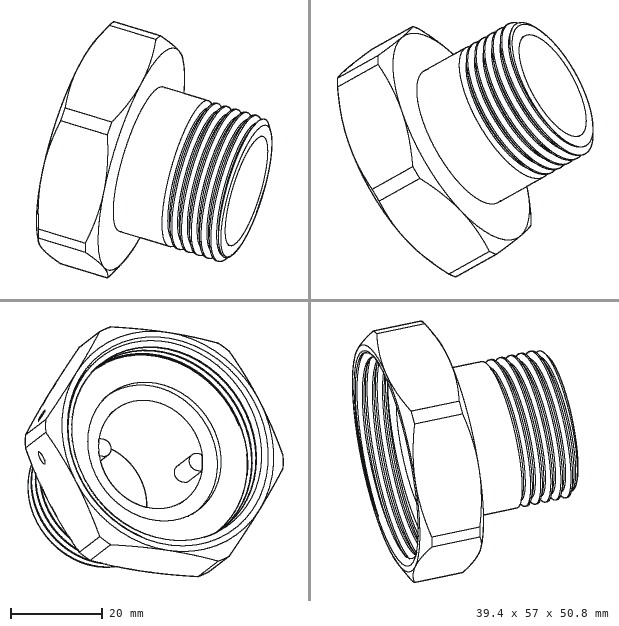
import cadquery as cq
import math


total_length = 39.4
head_length = 14.6
across_flats = 50.8
across_corners = 57.0
head_chamfer_angle = 30.0

pitch = 2.309
thread_depth = 1.479
flank_angle = 27.5
root_width = 0.385
external_major_radius = 33.1 / 2
internal_minor_radius = 44.845 / 2
lead_in_slope = 1.4
groove_overcut = 0.15

socket_depth = 7.2
socket_mouth_radius = 24.1
seat_radius = 16.0
seat_depth = 2.0
bore_radius = 12.5

shank_groove_start = 25.93
shank_end_radius = 15.05
socket_groove_start = -1.88

lug_length = 8.0
lug_setback = 0.3
lug_width = 4.0
lug_tip_distance = 9.35
wire_hole_diameter = 1.5
wire_hole_x = 8.5
wire_hole_corner_offset = 2.05

seat_floor_x = socket_depth + seat_depth
lug_start_x = seat_floor_x + lug_setback


def revolved(profile):
    """Solid of revolution about X from (x, radius) points."""
    return cq.Workplane("XY").polyline(profile).close().revolve(360, (0, 0, 0), (1, 0, 0))


def thread_groove(surface_radius, inward, first_x, turns):
    """Right-hand helical cutter about X, starting on the +Y side at first_x.

    inward is -1 for a groove cut towards the axis and +1 for one cut away from it.
    """
    root_half = root_width / 2
    mouth_half = root_half + (thread_depth + groove_overcut) * math.tan(math.radians(flank_angle))
    root_radius = surface_radius + inward * thread_depth
    mouth_radius = surface_radius - inward * groove_overcut
    path = cq.Wire.makeHelix(pitch, pitch * turns, surface_radius)
    groove = (
        cq.Workplane("XZ")
        .polyline([
            (mouth_radius, -mouth_half),
            (root_radius, -root_half),
            (root_radius, root_half),
            (mouth_radius, mouth_half),
        ])
        .close()
        .sweep(cq.Workplane(obj=path), isFrenet=True)
    )
    return (
        groove
        .rotate((0, 0, 0), (0, 0, 1), 90)
        .rotate((0, 0, 0), (0, 1, 0), 90)
        .translate((first_x, 0, 0))
    )


def hexagonal_head():
    """Hexagon with rounded corners, chamfered at both ends from its inscribed circle."""
    corner_radius = across_corners / 2
    flat_radius = across_flats / 2
    chamfer = (corner_radius - flat_radius) * math.tan(math.radians(head_chamfer_angle))
    hexagon = (
        cq.Workplane("YZ")
        .polygon(6, across_flats / math.cos(math.pi / 6))
        .extrude(head_length)
    )
    turned_blank = revolved([
        (0, 0),
        (0, flat_radius),
        (chamfer, corner_radius),
        (head_length - chamfer, corner_radius),
        (head_length, flat_radius),
        (head_length, 0),
    ])
    return hexagon.intersect(turned_blank)


def threaded_shank():
    """Cylinder with a lead-in cone and an external thread that runs out at its free end."""
    lead_in = (external_major_radius - shank_end_radius) / lead_in_slope
    blank = revolved([
        (socket_depth, 0),
        (socket_depth, external_major_radius),
        (total_length - lead_in, external_major_radius),
        (total_length, shank_end_radius),
        (total_length, 0),
    ])
    turns = math.ceil((total_length - shank_groove_start) / pitch) + 1
    return blank.cut(thread_groove(external_major_radius, -1, shank_groove_start, turns))


def stepped_bore():
    """Void through the whole part: countersunk socket, seat recess and through bore."""
    lead_in = (socket_mouth_radius - internal_minor_radius) / lead_in_slope
    return revolved([
        (0, 0),
        (0, socket_mouth_radius),
        (lead_in, internal_minor_radius),
        (socket_depth, internal_minor_radius),
        (socket_depth, seat_radius),
        (seat_floor_x, seat_radius),
        (seat_floor_x, bore_radius),
        (total_length, bore_radius),
        (total_length, 0),
    ])


def socket_thread():
    """Internal thread groove, from outside the open end to an undercut behind the socket floor."""
    groove_length = socket_depth + pitch / 2 - socket_groove_start
    return thread_groove(internal_minor_radius, 1, socket_groove_start, groove_length / pitch)


def wire_hole():
    """Hole across the +Y corner of the head, parallel to Z."""
    hole_y = across_corners / 2 - wire_hole_corner_offset
    return (
        cq.Workplane("XY")
        .center(wire_hole_x, hole_y)
        .circle(wire_hole_diameter / 2)
        .extrude(across_flats / 2, both=True)
    )


def adapter_body():
    """Head, shank, threads and bores as one solid."""
    return (
        hexagonal_head()
        .cut(stepped_bore())
        .cut(socket_thread())
        .union(threaded_shank().cut(stepped_bore()))
        .cut(wire_hole())
    )


def lug(side):
    """Round-nosed lug lying on the bore wall; side is +1 for +Y and -1 for -Y."""
    nose_radius = lug_width / 2
    nose_center = lug_tip_distance + nose_radius
    outline = (
        cq.Workplane("YZ", origin=(lug_start_x, 0, 0))
        .moveTo(side * bore_radius, -nose_radius)
        .lineTo(side * nose_center, -nose_radius)
        .threePointArc((side * lug_tip_distance, 0), (side * nose_center, nose_radius))
        .lineTo(side * bore_radius, nose_radius)
        .close()
    )
    bore_core = (
        cq.Workplane("YZ", origin=(lug_start_x, 0, 0))
        .circle(bore_radius)
        .extrude(lug_length)
    )
    return outline.extrude(lug_length).intersect(bore_core)


body = adapter_body()
lugs = [lug(side) for side in (1, -1)]

result = cq.Compound.makeCompound([body.val(), *[item.val() for item in lugs]])